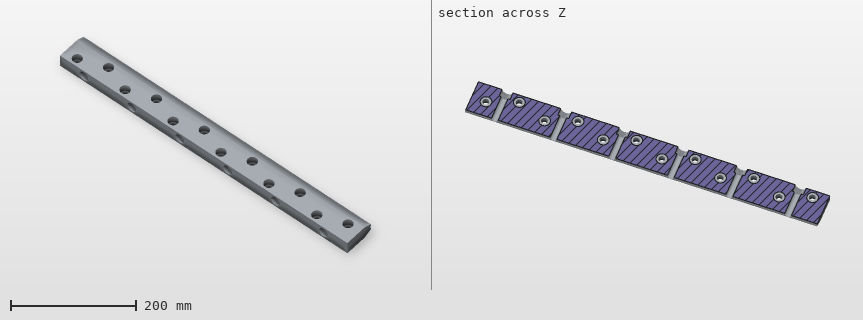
import cadquery as cq
import math

length = 599.5
width = 58.0
thickness = 25.0
taper_start = 43.0
nose_height = 12.0
lip_height = 2.0

seat_radius = 10.0

hole_diameter = 11.0
counterbore_diameter = 18.0
counterbore_depth = 13.0
holes_per_row = 6
pitch = length / holes_per_row
near_row_offset = 13.0
far_row_offset = 31.0

back = -width / 2
nose = width / 2
half_thickness = thickness / 2
half_nose = nose_height / 2
half_seat = half_nose - lip_height
seat_depth = seat_radius - math.sqrt(seat_radius**2 - half_seat**2)


def row_positions(first_fraction, across):
    """Hole centres along X, the first one a fraction of a pitch from the -X end."""
    return [(-length / 2 + (i + first_fraction) * pitch, across) for i in range(holes_per_row)]


def make_bar():
    taper_y = back + taper_start
    return (
        cq.Workplane("YZ", origin=(-length / 2, 0, 0))
        .moveTo(back, -half_thickness)
        .lineTo(taper_y, -half_thickness)
        .lineTo(nose, -half_nose)
        .lineTo(nose, -half_seat)
        .threePointArc((nose - seat_depth, 0), (nose, half_seat))
        .lineTo(nose, half_nose)
        .lineTo(taper_y, half_thickness)
        .lineTo(back, half_thickness)
        .close()
        .extrude(length)
    )


def drill(body, face_plane, centres):
    """Cut counterbored through holes, entering from the given outer face."""
    return (
        body.copyWorkplane(face_plane)
        .pushPoints(centres)
        .cboreHole(hole_diameter, counterbore_diameter, counterbore_depth)
    )


top_face = cq.Workplane("XY", origin=(0, 0, half_thickness))
back_face = cq.Workplane("XZ", origin=(0, back, 0))

vertical_holes = row_positions(0.25, back + near_row_offset) + row_positions(0.75, back + far_row_offset)
cross_holes = row_positions(0.5, 0)

result = make_bar()
result = drill(result, top_face, vertical_holes)
result = drill(result, back_face, cross_holes)